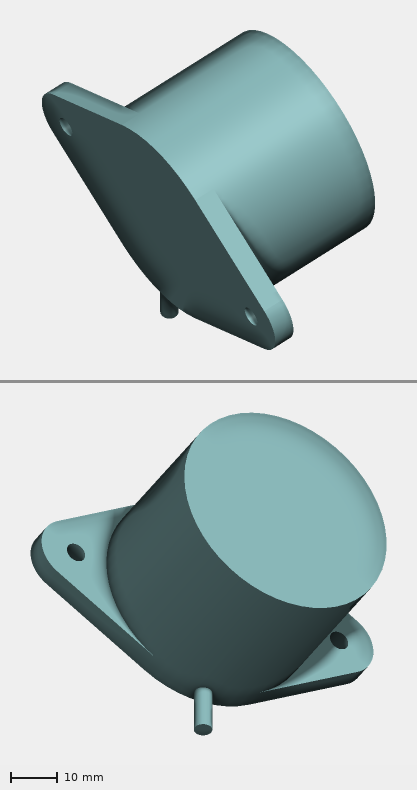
import cadquery as cq
import math

body_radius = 25.0
body_length = 40.0

flange_thickness = 5.0
flange_length = 82.0
ear_radius = 8.0
ear_offset = flange_length / 2 - ear_radius
hole_offset = 32.5
mount_hole_diameter = 4.5

cable_diameter = 4.0
cable_length = 10.0
cable_y = flange_thickness - cable_diameter / 2


def extrude_along_y(sketch, depth):
    """Extrude an XZ sketch from the mounting face towards +Y."""
    return sketch.extrude(-depth)


def make_body():
    return extrude_along_y(cq.Workplane("XZ").circle(body_radius), body_length)


def make_flange():
    sin_tangent = (body_radius - ear_radius) / ear_offset
    cos_tangent = math.sqrt(1 - sin_tangent**2)
    inner_x = body_radius * sin_tangent
    inner_z = body_radius * cos_tangent
    outer_x = ear_offset + ear_radius * sin_tangent
    outer_z = ear_radius * cos_tangent
    tip_x = flange_length / 2

    outline = (
        cq.Workplane("XZ")
        .moveTo(-inner_x, inner_z)
        .lineTo(inner_x, inner_z)
        .lineTo(outer_x, outer_z)
        .threePointArc((tip_x, 0), (outer_x, -outer_z))
        .lineTo(inner_x, -inner_z)
        .lineTo(-inner_x, -inner_z)
        .lineTo(-outer_x, -outer_z)
        .threePointArc((-tip_x, 0), (-outer_x, outer_z))
        .close()
    )
    return extrude_along_y(outline, flange_thickness)


def make_mount_holes():
    hole_centres = [(-hole_offset, 0), (hole_offset, 0)]
    holes = cq.Workplane("XZ").pushPoints(hole_centres).circle(mount_hole_diameter / 2)
    return extrude_along_y(holes, flange_thickness)


def make_cable():
    return (
        cq.Workplane("XY")
        .center(0, cable_y)
        .circle(cable_diameter / 2)
        .extrude(-(body_radius + cable_length))
    )


result = make_body().union(make_flange()).cut(make_mount_holes()).union(make_cable())